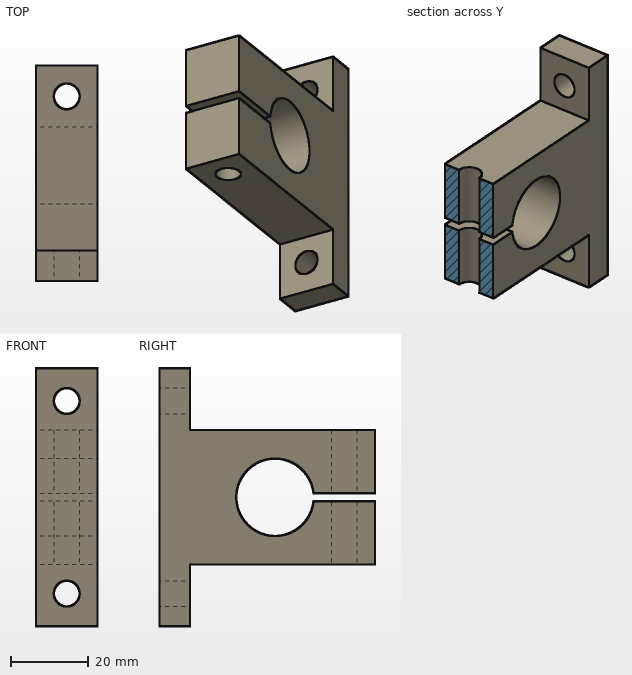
import cadquery as cq

width = 16.0
flange_height = 67.0
flange_thickness = 8.0
total_depth = 56.0
block_height = 35.0

bore_diameter = 20.0
bore_offset = 30.0
slit_width = 2.0

screw_hole_diameter = 6.6
mounting_hole_spacing = 50.0
clamp_hole_inset = 8.05


def centred_box(depth, height, start=0):
    """Full-width box running from Y = start, centred on X and Z."""
    box = cq.Workplane("XY").box(width, depth, height, centered=(True, False, True))
    return box.translate((0, start, 0))


body = centred_box(flange_thickness, flange_height).union(centred_box(total_depth, block_height))

bore = (
    cq.Workplane("YZ")
    .center(bore_offset, 0)
    .circle(bore_diameter / 2)
    .extrude(width / 2, both=True)
)

slit = centred_box(total_depth - bore_offset, slit_width, start=bore_offset)

mounting_holes = (
    cq.Workplane("XZ")
    .pushPoints([(0, side * mounting_hole_spacing / 2) for side in (-1, 1)])
    .circle(screw_hole_diameter / 2)
    .extrude(-flange_thickness)
)

clamp_hole = (
    cq.Workplane("XY")
    .center(0, total_depth - clamp_hole_inset)
    .circle(screw_hole_diameter / 2)
    .extrude(block_height / 2, both=True)
)

result = body.cut(bore).cut(slit).cut(mounting_holes).cut(clamp_hole)